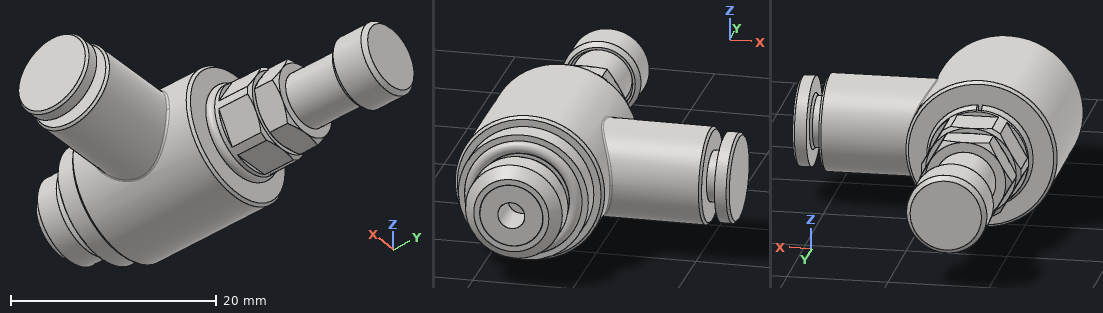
import cadquery as cq
import math


housing_length = 15.0
housing_diameter = 15.0
housing_chamfer = 0.3
housing_top = housing_length / 2
housing_bottom = -housing_length / 2

port_diameter = 9.7
port_end = 16.6
port_chamfer = 0.25
junction_fillet = 0.2

sleeve_neck_diameter = 5.1
sleeve_flare_diameter = 5.6
sleeve_flare_length = 0.25
sleeve_rim_diameter = 9.0
sleeve_rim_start = 17.85
sleeve_end = 19.28
sleeve_chamfer = 0.25

valve_length = 42.0
tip = -15.05
valve_top = tip + valve_length

thread_diameter = 9.7
thread_top = tip + 3.5
tip_chamfer = 1.1
undercut_diameter = 8.3
undercut_runout = 0.67

hole_diameter = 2.7
hole_depth = 4.2
groove_outer_diameter = 6.35
groove_inner_diameter = 6.3
groove_depth = 0.2

flange_diameter = 13.0
flange_bottom = tip + 5.1
flange_clearance = 0.13
flange_top = housing_bottom - flange_clearance
seal_center_radius = 5.25
seal_section_radius = 0.65

shank_diameter = 8.75
ring_outer_diameter = 10.5
ring_section_radius = 0.6
ring_center_radius = ring_outer_diameter / 2 - ring_section_radius
ring_center = housing_top + ring_section_radius
ring_gap = 0.5

hex_flats = 9.0
hex_turned_diameter = 9.85
hex_bottom = ring_center + ring_section_radius
hex_collar_length = 0.5
hex_top = tip + 28.15

nut_flats = 8.0
nut_height = 3.0
nut_top = hex_top + nut_height

corner_chamfer_angle = 30

stem_diameter = 6.0
knob_diameter = 8.0
knob_bottom = tip + 37.5
knob_chamfer = 0.45
knob_recess_diameter = 6.55
knob_recess_depth = 0.85


def across_corners(flats):
    return flats / math.cos(math.radians(30))


def valve_cylinder(diameter, start, end):
    """A cylinder on the valve axis between two stations."""
    return cq.Workplane("XZ", origin=(0, start, 0)).circle(diameter / 2).extrude(start - end)


def port_cylinder(diameter, start, end):
    """A cylinder on the port axis between two stations."""
    return cq.Workplane("YZ", origin=(start, 0, 0)).circle(diameter / 2).extrude(end - start)


def hexagon(flats, start, end):
    """A hexagonal prism on the valve axis with two corners on the X axis."""
    base = cq.Workplane("XZ", origin=(0, start, 0))
    return base.polygon(6, across_corners(flats)).extrude(start - end)


def turned(points):
    """A solid of revolution about the valve axis from (radius, station) points."""
    return cq.Workplane("XY").polyline(points).close().revolve(360, (0, 0, 0), (0, 1, 0))


def round_ring(center_radius, section_radius, station):
    """A ring of round section about the valve axis."""
    center = cq.Vector(0, station, 0)
    torus = cq.Solid.makeTorus(center_radius, section_radius, center, cq.Vector(0, 1, 0))
    return cq.Workplane("XY").newObject([torus])


def corner_chamfer(outer_radius, end_radius):
    """Axial height of the cone that cuts hexagon corners back to the end radius."""
    return (outer_radius - end_radius) * math.tan(math.radians(corner_chamfer_angle))


def make_release_sleeve():
    flare_start = sleeve_rim_start - sleeve_flare_length
    neck = port_cylinder(sleeve_neck_diameter, port_end, flare_start)
    flare = (
        cq.Workplane("YZ", origin=(flare_start, 0, 0))
        .circle(sleeve_neck_diameter / 2)
        .workplane(offset=sleeve_flare_length)
        .circle(sleeve_flare_diameter / 2)
        .loft()
    )
    rim = port_cylinder(sleeve_rim_diameter, sleeve_rim_start, sleeve_end)
    rim = rim.faces(">X").chamfer(sleeve_chamfer)
    return neck.union(flare).union(rim)


def make_housing():
    barrel = valve_cylinder(housing_diameter, housing_bottom, housing_top)
    barrel = barrel.faces("<Y or >Y").chamfer(housing_chamfer)
    port = port_cylinder(port_diameter, 0, port_end)
    port = port.faces(">X").chamfer(port_chamfer)
    joined = barrel.union(port)
    joined = joined.edges("not (%CIRCLE or %LINE)").fillet(junction_fillet)
    bore = valve_cylinder(shank_diameter, housing_bottom, housing_top)
    return joined.union(make_release_sleeve()).cut(bore)


def make_threaded_end():
    thread_radius = thread_diameter / 2
    undercut_radius = undercut_diameter / 2
    threaded_end = turned([
        (0, tip),
        (thread_radius - tip_chamfer, tip),
        (thread_radius, tip + tip_chamfer),
        (thread_radius, thread_top),
        (undercut_radius, thread_top + undercut_runout),
        (undercut_radius, flange_bottom),
        (0, flange_bottom),
    ])
    hole = valve_cylinder(hole_diameter, tip, tip + hole_depth)
    groove = valve_cylinder(groove_outer_diameter, tip, tip + groove_depth)
    groove = groove.cut(valve_cylinder(groove_inner_diameter, tip, tip + groove_depth))
    return threaded_end.cut(hole).cut(groove)


def make_sealed_flange():
    flange = valve_cylinder(flange_diameter, flange_bottom, flange_top)
    return flange.union(round_ring(seal_center_radius, seal_section_radius, flange_bottom))


def make_split_ring():
    ring = round_ring(ring_center_radius, ring_section_radius, ring_center)
    gap_size = 4 * ring_section_radius
    gap = cq.Workplane("XY").box(ring_gap, gap_size, gap_size)
    return ring.cut(gap.translate((0, ring_center, ring_center_radius)))


def make_screw_hexagon():
    outer_radius = hex_turned_diameter / 2
    end_radius = hex_flats / 2
    flats_bottom = hex_bottom + hex_collar_length
    blank = turned([
        (0, hex_bottom),
        (outer_radius, hex_bottom),
        (outer_radius, hex_top - corner_chamfer(outer_radius, end_radius)),
        (end_radius, hex_top),
        (0, hex_top),
    ])
    collar = valve_cylinder(across_corners(hex_flats), hex_bottom, flats_bottom)
    return blank.intersect(hexagon(hex_flats, flats_bottom, hex_top).union(collar))


def make_lock_nut():
    outer_radius = across_corners(nut_flats) / 2
    end_radius = nut_flats / 2
    chamfer_height = corner_chamfer(outer_radius, end_radius)
    blank = turned([
        (0, hex_top),
        (end_radius, hex_top),
        (outer_radius, hex_top + chamfer_height),
        (outer_radius, nut_top - chamfer_height),
        (end_radius, nut_top),
        (0, nut_top),
    ])
    return blank.intersect(hexagon(nut_flats, hex_top, nut_top))


def make_knob():
    knob = valve_cylinder(knob_diameter, knob_bottom, valve_top)
    knob = knob.faces("<Y or >Y").chamfer(knob_chamfer)
    return knob.cut(valve_cylinder(knob_recess_diameter, knob_bottom, knob_bottom + knob_recess_depth))


def make_valve_screw():
    shank = valve_cylinder(shank_diameter, flange_top, hex_bottom)
    stem = valve_cylinder(stem_diameter, nut_top, knob_bottom + knob_recess_depth)
    screw = make_threaded_end()
    for section in (
        make_sealed_flange(),
        shank,
        make_split_ring(),
        make_screw_hexagon(),
        make_lock_nut(),
        stem,
        make_knob(),
    ):
        screw = screw.union(section)
    return screw


housing = make_housing()
valve_screw = make_valve_screw()

result = cq.Compound.makeCompound([housing.val(), valve_screw.val()])